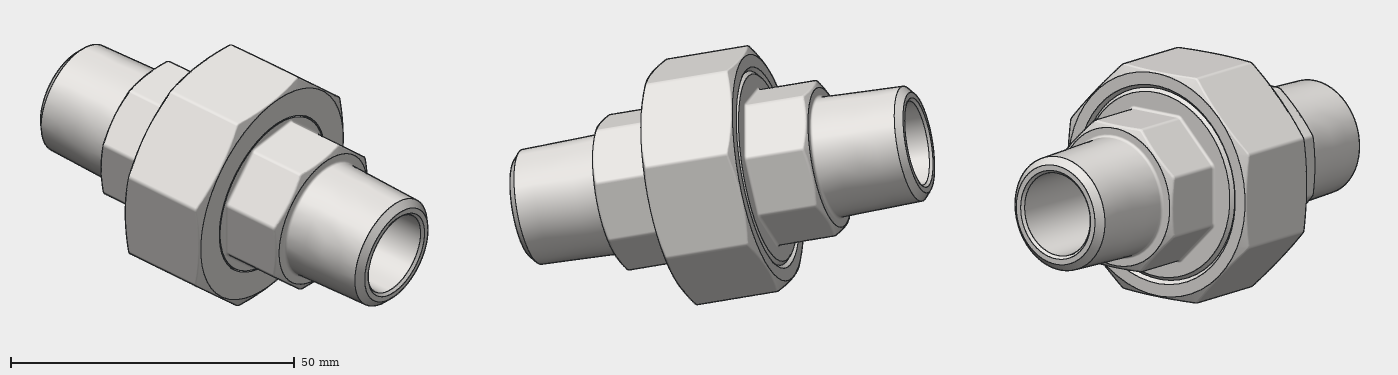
import cadquery as cq
import math

overall_length = 73.0
bore_diameter = 15.0
bore_chamfer = 0.5
half_length = overall_length / 2

thread_end_diameter = 18.0
thread_chamfer = 1.2
thread_start_diameter = 20.6
thread_root_diameter = 21.5
root_fillet = 0.5

octagon_sides = 8
half_side_angle = 180 / octagon_sides
corner_radius = 1.0
crown_angle = 25.0
crown_edges = "not(%LINE or %CIRCLE)"
wrench_flats = 26.0
wrench_crown_diameter = 25.0
wrench_outer_x = 20.0
wrench_foot_fillet = 0.5
wrench_crown_fillet = 0.5

nut_flats = 41.0
nut_crown_diameter = 40.5
nut_crown_fillet = 0.4
nut_length = 17.0
nut_face_x = nut_length / 2
thread_mouth_diameter = 36.0
collar_face_diameter = 33.5
joint_thread_diameter = (thread_mouth_diameter + collar_face_diameter) / 2
mouth_chamfer = (thread_mouth_diameter - joint_thread_diameter) / 2
collar_chamfer = (joint_thread_diameter - collar_face_diameter) / 2
nut_lip_thickness = 4.0
lip_inner_x = nut_face_x - nut_lip_thickness
lip_bore_diameter = 30.0
neck_diameter = 29.5
flange_diameter = 33.5
seat_x = 0.0


def revolve_about_x(points):
    """Solid of revolution from (x, radius) points."""
    return cq.Workplane("XY").polyline(points).close().revolve(360, (0, 0, 0), (1, 0, 0))


def cylinder(diameter, x_start, x_end):
    return cq.Workplane("YZ", origin=(x_start, 0, 0)).circle(diameter / 2).extrude(x_end - x_start)


def octagon_prism(flats, x_start, x_end):
    """Octagonal bar with a flat on top and rounded corners."""
    corner_diameter = flats / math.cos(math.radians(half_side_angle))
    bar = (
        cq.Workplane("YZ", origin=(x_start, 0, 0))
        .transformed(rotate=(0, 0, half_side_angle))
        .polygon(octagon_sides, corner_diameter)
        .extrude(x_end - x_start)
    )
    return bar.edges("|X").fillet(corner_radius)


def crown_envelope(crown_diameter, flats, x_face, x_back, crown_back):
    """Turned blank whose conical crown bevels the corners of an octagon at x_face."""
    crown_radius = crown_diameter / 2
    blank_radius = flats / 2 / math.cos(math.radians(half_side_angle))
    direction = math.copysign(1, x_back - x_face)
    depth = direction * (blank_radius - crown_radius) * math.tan(math.radians(crown_angle))
    points = [(x_face, 0), (x_face, crown_radius), (x_face + depth, blank_radius)]
    if crown_back:
        points += [(x_back - depth, blank_radius), (x_back, crown_radius)]
    else:
        points += [(x_back, blank_radius)]
    return revolve_about_x(points + [(x_back, 0)])


def threaded_end():
    """Tapered stub on the -X end, its root filleted into the face of the wrench octagon."""
    root_x = -wrench_outer_x - root_fillet
    root_radius = thread_root_diameter / 2
    fillet_sag = root_fillet * math.sin(math.pi / 4)
    fillet_middle = (root_x + fillet_sag, root_radius + root_fillet - fillet_sag)
    profile = (
        cq.Workplane("XY")
        .moveTo(-half_length, 0)
        .lineTo(-half_length, thread_end_diameter / 2)
        .lineTo(-half_length + thread_chamfer, thread_start_diameter / 2)
        .lineTo(root_x, root_radius)
        .threePointArc(fillet_middle, (-wrench_outer_x, root_radius + root_fillet))
        .lineTo(-wrench_outer_x, 0)
        .close()
    )
    return profile.revolve(360, (0, 0, 0), (1, 0, 0))


def wrench_octagon():
    bar = octagon_prism(wrench_flats, -wrench_outer_x, -nut_face_x)
    bar = bar.intersect(
        crown_envelope(wrench_crown_diameter, wrench_flats, -wrench_outer_x, -nut_face_x, False)
    )
    return bar.edges(crown_edges).fillet(wrench_crown_fillet)


def pipe_bore():
    return cylinder(bore_diameter, -half_length, half_length)


def mouth_bevel():
    bore_radius = bore_diameter / 2
    return revolve_about_x([
        (-half_length, 0),
        (-half_length, bore_radius + bore_chamfer),
        (-half_length + bore_chamfer, bore_radius),
        (-half_length + bore_chamfer, 0),
    ])


def foot_selector():
    """Picks the edges that lie on the shoulder at the nut face."""
    reach = neck_diameter / 2
    slack = wrench_foot_fillet / 2
    return cq.selectors.BoxSelector(
        (-nut_face_x - slack, -reach, -reach), (-nut_face_x + slack, reach, reach)
    )


def is_off_axis(edge):
    centre = edge.Center()
    return math.hypot(centre.y, centre.z) > bore_diameter / 2


def end_fitting(inner_part):
    """Threaded end and wrench flats on the -X side, joined to an inner part and bored."""
    fitting = inner_part.union(wrench_octagon())
    foot_edges = fitting.edges(foot_selector()).filter(is_off_axis)
    fitting = foot_edges.fillet(wrench_foot_fillet)
    return fitting.union(threaded_end()).cut(pipe_bore()).cut(mouth_bevel())


def make_body():
    collar = cylinder(joint_thread_diameter, -nut_face_x, seat_x).faces("<X").chamfer(collar_chamfer)
    return end_fitting(collar)


def make_tailpiece():
    flange = cylinder(flange_diameter, -lip_inner_x, seat_x)
    neck = cylinder(neck_diameter, -nut_face_x, -lip_inner_x)
    return end_fitting(flange.union(neck)).mirror("YZ")


def make_nut():
    bar = octagon_prism(nut_flats, -nut_face_x, nut_face_x)
    nut = bar.intersect(crown_envelope(nut_crown_diameter, nut_flats, -nut_face_x, nut_face_x, True))
    nut = nut.edges(crown_edges).fillet(nut_crown_fillet)
    cavity = revolve_about_x([
        (-nut_face_x, 0),
        (-nut_face_x, thread_mouth_diameter / 2),
        (-nut_face_x + mouth_chamfer, joint_thread_diameter / 2),
        (lip_inner_x, joint_thread_diameter / 2),
        (lip_inner_x, lip_bore_diameter / 2),
        (nut_face_x, lip_bore_diameter / 2),
        (nut_face_x, 0),
    ])
    return nut.cut(cavity)


body = make_body()
tailpiece = make_tailpiece()
nut = make_nut()
result = cq.Compound.makeCompound([body.val(), tailpiece.val(), nut.val()])